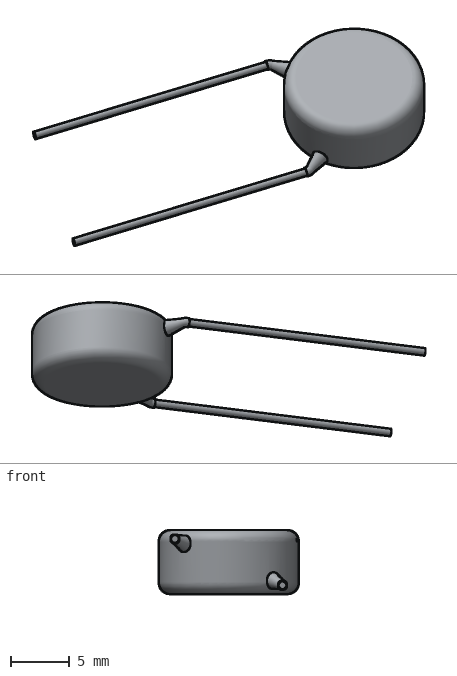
import cadquery as cq
import math

disc_diameter = 12.0
disc_thickness = 5.5
rim_radius = 1.0

overall_length = 33.5
lead_diameter = 0.67
lead_offset_x = 4.6
lead_offset_z = 1.98

sleeve_tip_diameter = 0.8
sleeve_tip_y = -6.23
sleeve_tip_length = 0.1
elbow_bend_radius = 0.67
elbow_bend_angle = 34.0
elbow_roll_angle = 25.0
cone_half_angle = 12.0
cone_length = 2.18

sleeve_tip_radius = sleeve_tip_diameter / 2
lead_end_y = disc_diameter / 2 - overall_length
half_turn = 180.0


def make_disc():
    return (
        cq.Workplane("XY", origin=(0, 0, -disc_thickness / 2))
        .circle(disc_diameter / 2)
        .extrude(disc_thickness)
        .edges()
        .fillet(rim_radius)
    )


def make_sleeve():
    """The -X sleeve, shaped in the XY plane with its elbow at the origin, then rolled into place."""
    bend = math.radians(elbow_bend_angle)
    tip = cq.Workplane("XZ").circle(sleeve_tip_radius).extrude(sleeve_tip_length)
    elbow = cq.Workplane("XZ").circle(sleeve_tip_radius).revolve(
        elbow_bend_angle, (elbow_bend_radius, 0.35), (elbow_bend_radius, 0)
    )
    cone_start = cq.Vector(
        elbow_bend_radius * (1 - math.cos(bend)), elbow_bend_radius * math.sin(bend), 0
    )
    cone_direction = cq.Vector(math.sin(bend), math.cos(bend), 0)
    cone_end_radius = sleeve_tip_radius + cone_length * math.tan(math.radians(cone_half_angle))
    cone = cq.Solid.makeCone(
        sleeve_tip_radius, cone_end_radius, cone_length, cone_start, cone_direction
    )
    return (
        tip.union(elbow)
        .union(cq.Workplane(cone))
        .rotate((0, 0, 0), (0, 1, 0), elbow_roll_angle)
        .translate((-lead_offset_x, sleeve_tip_y + sleeve_tip_length, lead_offset_z))
    )


def make_lead():
    """The -X lead, running from the sleeve tip to the free end."""
    return (
        cq.Workplane("XZ", origin=(-lead_offset_x, sleeve_tip_y, lead_offset_z))
        .circle(lead_diameter / 2)
        .extrude(sleeve_tip_y - lead_end_y)
    )


coating = make_disc()
leads = []
for turn in (0, half_turn):
    coating = coating.union(make_sleeve().rotate((0, 0, 0), (0, 1, 0), turn))
    leads.append(make_lead().rotate((0, 0, 0), (0, 1, 0), turn))

result = cq.Compound.makeCompound([coating.val(), *[lead.val() for lead in leads]])